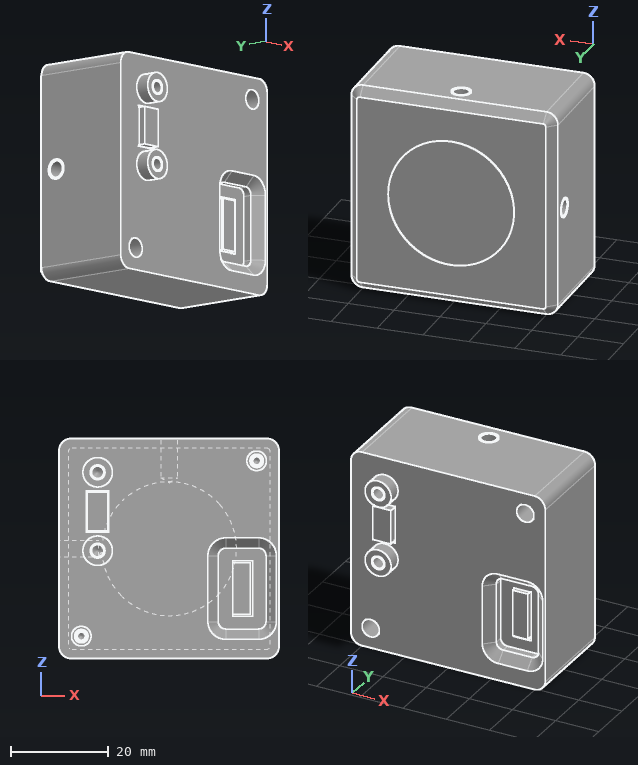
import cadquery as cq
import math

SIDE = 45.0
TOTAL_DEPTH = 26.8
POST_HEIGHT = 3.0
BACK_DISC_HEIGHT = 0.2
BACK_DISC_DIAMETER = 27.45
BODY_DEPTH = TOTAL_DEPTH - POST_HEIGHT - BACK_DISC_HEIGHT
CORNER_RADIUS = 2.5
BACK_CHAMFER = 1.95

DRILL_POINT_ANGLE = 118.0
MOUTH_STEP_DEPTH = 0.1

CONNECTOR_X = -14.6
CONNECTOR_Z = 7.55
POST_SPACING = 16.0
POST_DIAMETER = 6.05
POST_HOLE_MOUTH = 3.0
POST_HOLE_DIAMETER = 2.5
POST_HOLE_DEPTH = 6.0
CONNECTOR_WIDTH = 4.2
CONNECTOR_LENGTH = 7.8
CONNECTOR_PROTRUSION = 1.35
CONNECTOR_RECESS_WIDTH = 4.65
CONNECTOR_RECESS_LENGTH = 8.5
RECESS_DEPTH = 1.0

POCKET_X = 14.95
POCKET_Z = -8.2
POCKET_WIDTH = 14.0
POCKET_LENGTH = 20.75
POCKET_CORNER_RADIUS = 3.65
POCKET_SLOPE = 2.1
POCKET_DEPTH = 4.0

SOCKET_X = 15.08
SOCKET_RECESS_WIDTH = 4.05
SOCKET_RECESS_LENGTH = 11.3
SOCKET_WIDTH = 3.5
SOCKET_LENGTH = 10.58
SOCKET_PROTRUSION = 0.4

SCREW_OFFSET = 17.9
COUNTERBORE_DIAMETER = 4.0
COUNTERBORE_DEPTH = 10.0
SCREW_CLEARANCE_MOUTH = 2.75
SCREW_CLEARANCE_DIAMETER = 2.4
SCREW_CLEARANCE_DEPTH = 2.0
SCREW_HOLE_MOUTH = 2.02
SCREW_HOLE_DIAMETER = 1.65
SCREW_HOLE_DEPTH = 4.0

MOUNT_HOLE_Y = 17.75
MOUNT_HOLE_MOUTH = 4.15
MOUNT_HOLE_DIAMETER = 3.4
MOUNT_HOLE_DEPTH = 8.0


def front_plane(x, y, z):
    """Plane parallel to the front face whose normal points into the body (+Y)."""
    return cq.Plane(origin=(x, y, z), xDir=(1, 0, 0), normal=(0, 1, 0))


def block(x, z, width, length, y_start, y_end):
    """Box centred on (x, z) that spans y_start to y_end."""
    return cq.Workplane(front_plane(x, y_start, z)).rect(width, length).extrude(y_end - y_start)


def cylinder(x, z, diameter, y_start, y_end):
    """Cylinder along Y centred on (x, z)."""
    return cq.Workplane(front_plane(x, y_start, z)).circle(diameter / 2).extrude(y_end - y_start)


def drilled_hole(origin, direction, mouth, diameter, depth):
    """Blind hole with a shallow wider mouth and a drill point, running from origin along direction."""
    radius = diameter / 2
    point_depth = radius / math.tan(math.radians(DRILL_POINT_ANGLE / 2))
    start = cq.Vector(*origin)
    axis = cq.Vector(*direction)
    mouth_step = cq.Solid.makeCylinder(mouth / 2, MOUTH_STEP_DEPTH, start, axis)
    bore = cq.Solid.makeCylinder(radius, depth, start, axis)
    point = cq.Solid.makeCone(radius, 0, point_depth, start + axis * depth, axis)
    return cq.Workplane(mouth_step.fuse(bore, point))


def make_housing():
    body = block(0, 0, SIDE, SIDE, 0, BODY_DEPTH).edges("|Y").fillet(CORNER_RADIUS)
    body = body.faces(">Y").edges().chamfer(BACK_CHAMFER)
    disc = cylinder(0, 0, BACK_DISC_DIAMETER, BODY_DEPTH, BODY_DEPTH + BACK_DISC_HEIGHT)
    return body.union(disc)


def cut_pocket(body):
    floor_width = POCKET_WIDTH - 2 * POCKET_SLOPE
    floor_length = POCKET_LENGTH - 2 * POCKET_SLOPE
    rim = block(POCKET_X, POCKET_Z, POCKET_WIDTH, POCKET_LENGTH, 0, POCKET_DEPTH)
    rim = rim.edges("|Y").fillet(POCKET_CORNER_RADIUS)
    rim_section = rim.faces("<Y").wires().val()
    floor = block(POCKET_X, POCKET_Z, floor_width, floor_length, 0, POCKET_DEPTH)
    floor = floor.edges("|Y").fillet(POCKET_CORNER_RADIUS - POCKET_SLOPE)
    slope_end = floor.faces("<Y").wires().val().translate(cq.Vector(0, POCKET_SLOPE, 0))
    slope = cq.Workplane(cq.Solid.makeLoft([rim_section, slope_end], True))
    return body.cut(floor).cut(slope)


def add_socket(body):
    recess_bottom = POCKET_DEPTH + RECESS_DEPTH
    socket_x = SOCKET_X - (SOCKET_RECESS_WIDTH - SOCKET_WIDTH) / 2
    recess = block(
        SOCKET_X, POCKET_Z, SOCKET_RECESS_WIDTH, SOCKET_RECESS_LENGTH, POCKET_DEPTH, recess_bottom
    )
    socket = block(
        socket_x, POCKET_Z, SOCKET_WIDTH, SOCKET_LENGTH, POCKET_DEPTH - SOCKET_PROTRUSION, recess_bottom
    )
    return body.cut(recess).union(socket)


def add_connector(body):
    recess = block(
        CONNECTOR_X, CONNECTOR_Z, CONNECTOR_RECESS_WIDTH, CONNECTOR_RECESS_LENGTH, 0, RECESS_DEPTH
    )
    connector = block(
        CONNECTOR_X, CONNECTOR_Z, CONNECTOR_WIDTH, CONNECTOR_LENGTH, -CONNECTOR_PROTRUSION, RECESS_DEPTH
    )
    body = body.cut(recess).union(connector)
    for side in (-1, 1):
        post_z = CONNECTOR_Z + side * POST_SPACING / 2
        body = body.union(cylinder(CONNECTOR_X, post_z, POST_DIAMETER, -POST_HEIGHT, 0))
        body = body.cut(
            drilled_hole(
                (CONNECTOR_X, -POST_HEIGHT, post_z),
                (0, 1, 0),
                POST_HOLE_MOUTH,
                POST_HOLE_DIAMETER,
                POST_HOLE_DEPTH,
            )
        )
    return body


def cut_screw_holes(body):
    mouth_y = COUNTERBORE_DEPTH
    mouth_step_end = mouth_y + MOUTH_STEP_DEPTH
    thread_y = mouth_y + SCREW_CLEARANCE_DEPTH
    for side in (-1, 1):
        offset = side * SCREW_OFFSET
        body = body.cut(cylinder(offset, offset, COUNTERBORE_DIAMETER, 0, mouth_y))
        body = body.cut(cylinder(offset, offset, SCREW_CLEARANCE_MOUTH, mouth_y, mouth_step_end))
        body = body.cut(cylinder(offset, offset, SCREW_CLEARANCE_DIAMETER, mouth_y, thread_y))
        thread = drilled_hole(
            (offset, thread_y, offset), (0, 1, 0), SCREW_HOLE_MOUTH, SCREW_HOLE_DIAMETER, SCREW_HOLE_DEPTH
        )
        body = body.cut(thread)
    return body


def cut_mounting_holes(body):
    half_side = SIDE / 2
    top_start = (0, MOUNT_HOLE_Y, half_side)
    side_start = (-half_side, MOUNT_HOLE_Y, 0)
    for start, direction in ((top_start, (0, 0, -1)), (side_start, (1, 0, 0))):
        hole = drilled_hole(start, direction, MOUNT_HOLE_MOUTH, MOUNT_HOLE_DIAMETER, MOUNT_HOLE_DEPTH)
        body = body.cut(hole)
    return body


housing = make_housing()
housing = cut_pocket(housing)
housing = add_socket(housing)
housing = add_connector(housing)
housing = cut_screw_holes(housing)
result = cut_mounting_holes(housing)